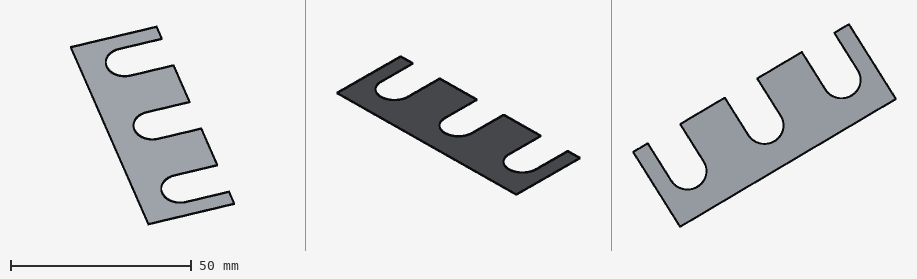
import cadquery as cq

length = 70.0
depth = 25.0
thickness = 0.25
slot_width = 10.5
slot_pitch = 25.0
slot_count = 3

slot_radius = slot_width / 2
back_edge = depth / 2


def open_slot(center_x):
    """U-shaped cutter with its round end centred at mid-depth, open at the +Y edge."""
    return (
        cq.Workplane("XY")
        .moveTo(center_x - slot_radius, back_edge)
        .lineTo(center_x - slot_radius, 0)
        .threePointArc((center_x, -slot_radius), (center_x + slot_radius, 0))
        .lineTo(center_x + slot_radius, back_edge)
        .close()
        .extrude(thickness)
    )


result = cq.Workplane("XY").box(length, depth, thickness, centered=(True, True, False))

for index in range(slot_count):
    slot_x = (index - (slot_count - 1) / 2) * slot_pitch
    result = result.cut(open_slot(slot_x))